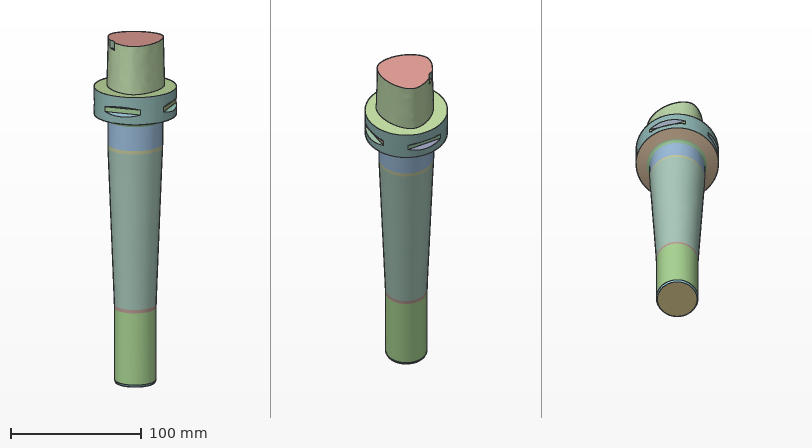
import cadquery as cq
import math

total_height = 273.0
polygon_height = 38.0
flange_top = total_height - polygon_height
neck_top = 208.3
taper_top = 187.8
taper_bottom = 60.0

flange_radius = 63.0 / 2
neck_radius = 42.0 / 2
shank_radius = 32.0 / 2
shoulder_angle = 16.0
shoulder_fillet = 2.7
blend_length = 1.5
end_chamfer_height = 2.0
end_chamfer_depth = 0.8

polygon_base_radius = 22.0
polygon_slope = 1 / 40
lobe_ratio = 0.075
points_per_turn = 48

slot_count = 4
slot_first_angle = 45.0
slot_floor_distance = 28.0
slot_floor_height = 3.8
slot_wall_angle = 30.0
slot_middle = 223.0

notch_width = 7.6
notch_height = 6.0
notch_depth = 1.5


def turned_body():
    """Flange, neck, taper and shank as one revolved profile with soft taper ends."""
    slope = math.radians(shoulder_angle)
    fillet_end_radius = neck_radius + shoulder_fillet * (1 - math.sin(slope))
    fillet_end_height = neck_top + shoulder_fillet * math.cos(slope)
    shoulder_top = fillet_end_height + (flange_radius - fillet_end_radius) * math.tan(slope)
    taper_angle = math.atan((neck_radius - shank_radius) / (taper_top - taper_bottom))
    blend_rise = blend_length * math.cos(taper_angle)
    blend_run = blend_length * math.sin(taper_angle)
    return (
        cq.Workplane("XZ")
        .lineTo(shank_radius - end_chamfer_depth, 0)
        .lineTo(shank_radius, end_chamfer_height)
        .lineTo(shank_radius, taper_bottom - blend_length)
        .tangentArcPoint((shank_radius + blend_run, taper_bottom + blend_rise), relative=False)
        .lineTo(neck_radius - blend_run, taper_top - blend_rise)
        .tangentArcPoint((neck_radius, taper_top + blend_length), relative=False)
        .lineTo(neck_radius, neck_top)
        .tangentArcPoint((fillet_end_radius, fillet_end_height), relative=False)
        .lineTo(flange_radius, shoulder_top)
        .lineTo(flange_radius, flange_top)
        .lineTo(0, flange_top)
        .close()
        .revolve(360, (0, 0, 0), (0, 1, 0))
    )


def lobed_wire(mean_radius, height):
    """Smooth three-lobed outline with one lobe pointing along +Y."""
    eccentricity = mean_radius * lobe_ratio

    def point(t):
        angle = 2 * math.pi * t
        along = mean_radius * math.cos(angle) + eccentricity * (
            2 * math.cos(2 * angle) - math.cos(4 * angle))
        across = mean_radius * math.sin(angle) - eccentricity * (
            2 * math.sin(2 * angle) + math.sin(4 * angle))
        return (-across, along, height)

    points = [cq.Vector(*point(i / points_per_turn)) for i in range(points_per_turn)]
    return cq.Wire.assembleEdges([cq.Edge.makeSpline(points, periodic=True)])


def coupling():
    """Tapered lobed stub standing on the flange."""
    top_radius = polygon_base_radius - polygon_slope * polygon_height
    stub = cq.Solid.makeLoft([
        lobed_wire(polygon_base_radius, flange_top),
        lobed_wire(top_radius, total_height),
    ])
    return cq.Workplane(stub)


def gripper_slot(angle):
    """Straight trapezoidal groove across the flange rim, widening outwards."""
    slot_outer = flange_radius + 2.7
    flare = (slot_outer - slot_floor_distance) * math.tan(math.radians(slot_wall_angle))
    half_floor = slot_floor_height / 2
    return (
        cq.Workplane("XZ")
        .moveTo(slot_floor_distance, slot_middle - half_floor)
        .lineTo(slot_outer, slot_middle - half_floor - flare)
        .lineTo(slot_outer, slot_middle + half_floor + flare)
        .lineTo(slot_floor_distance, slot_middle + half_floor)
        .close()
        .extrude(flange_radius, both=True)
        .rotate((0, 0, 0), (0, 0, 1), angle)
    )


def top_notch():
    """Round-backed notch in the -Y flank, open at the top face."""
    flank = polygon_base_radius * (1 - lobe_ratio) - polygon_slope * polygon_height
    notch_radius = ((notch_width / 2) ** 2 + notch_depth ** 2) / (2 * notch_depth)
    return (
        cq.Workplane("XY", origin=(0, notch_depth - flank - notch_radius, total_height - notch_height))
        .circle(notch_radius)
        .extrude(notch_height)
    )


result = turned_body().union(coupling())
for slot_index in range(slot_count):
    result = result.cut(gripper_slot(slot_first_angle + slot_index * 360 / slot_count))
result = result.cut(top_notch())